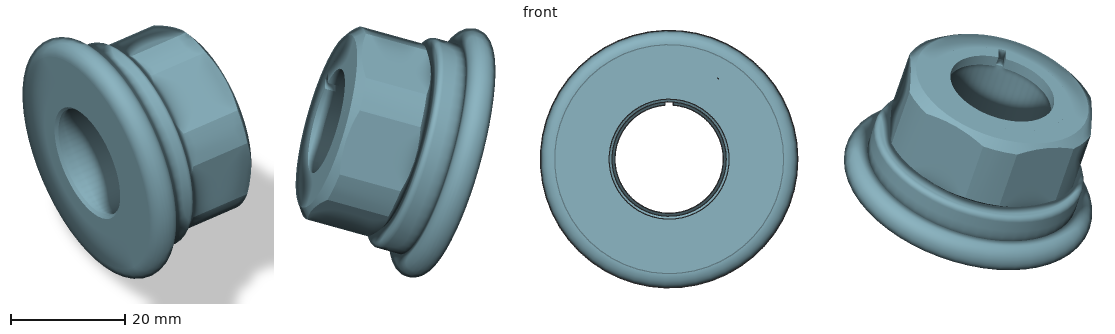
import cadquery as cq
import math

flange_radius = 22.5
flange_thickness = 5.0
flange_edge_radius = flange_thickness / 2
collar_radius = 19.05
collar_end = 10.0
collar_fillet = 0.9
bore_radius = 10.0
bore_chamfer = 0.5

spigot_radius = 12.0
spigot_length = 2.0
spigot_end = collar_end + spigot_length

nut_end = 24.0
nut_length = nut_end - collar_end
across_flats = 32.95
across_corners = across_flats / math.cos(math.radians(30))
corner_radius = 17.5
nut_end_radius = 15.7
nut_chamfer_length = 1.35

ring_inner_radius = 9.45
ring_outer_radius = spigot_radius
ring_thickness = 2.0
ring_start = nut_end - ring_thickness
ring_gap = 1.4


def cylinder(radius, start, end):
    """Solid cylinder along Y between two stations."""
    plane = cq.Plane(origin=(0, start, 0), xDir=(1, 0, 0), normal=(0, 1, 0))
    return cq.Workplane(plane).circle(radius).extrude(end - start)


def make_flanged_bush():
    """Flange with a full-round rim, a collar, a spigot and a through bore."""
    profile = (
        cq.Workplane("XY")
        .moveTo(bore_radius + bore_chamfer, 0)
        .lineTo(flange_radius - flange_edge_radius, 0)
        .threePointArc(
            (flange_radius, flange_edge_radius),
            (flange_radius - flange_edge_radius, flange_thickness),
        )
        .lineTo(collar_radius, flange_thickness)
        .lineTo(collar_radius, collar_end - collar_fillet)
        .radiusArc((collar_radius - collar_fillet, collar_end), -collar_fillet)
        .lineTo(spigot_radius, collar_end)
        .lineTo(spigot_radius, spigot_end)
        .lineTo(bore_radius, spigot_end)
        .lineTo(bore_radius, bore_chamfer)
        .close()
    )
    return profile.revolve(360, (0, 0, 0), (0, 1, 0))


def make_nut():
    """Hexagon nut chamfered at both ends, recessed for the spigot and the ring."""
    plane = cq.Plane(origin=(0, collar_end, 0), xDir=(0, 0, 1), normal=(0, 1, 0))
    hexagon = cq.Workplane(plane).polygon(6, across_corners).extrude(nut_length)
    envelope = (
        cq.Workplane("XY")
        .moveTo(0, collar_end)
        .lineTo(nut_end_radius, collar_end)
        .lineTo(corner_radius, collar_end + nut_chamfer_length)
        .lineTo(corner_radius, nut_end - nut_chamfer_length)
        .lineTo(nut_end_radius, nut_end)
        .lineTo(0, nut_end)
        .close()
        .revolve(360, (0, 0, 0), (0, 1, 0))
    )
    nut = hexagon.intersect(envelope)
    nut = nut.cut(cylinder(bore_radius, collar_end, nut_end))
    nut = nut.cut(cylinder(spigot_radius, collar_end, spigot_end))
    return nut.cut(cylinder(ring_outer_radius, ring_start, nut_end))


def make_split_ring():
    """Flat ring with one parallel-sided gap at the top (+Z)."""
    ring = cylinder(ring_outer_radius, ring_start, nut_end)
    ring = ring.cut(cylinder(ring_inner_radius, ring_start, nut_end))
    gap = (
        cq.Workplane("XY")
        .box(ring_gap, ring_thickness, ring_outer_radius, centered=(True, False, False))
        .translate((0, ring_start, 0))
    )
    return ring.cut(gap)


flanged_bush = make_flanged_bush()
nut = make_nut()
split_ring = make_split_ring()

result = cq.Compound.makeCompound([flanged_bush.val(), nut.val(), split_ring.val()])